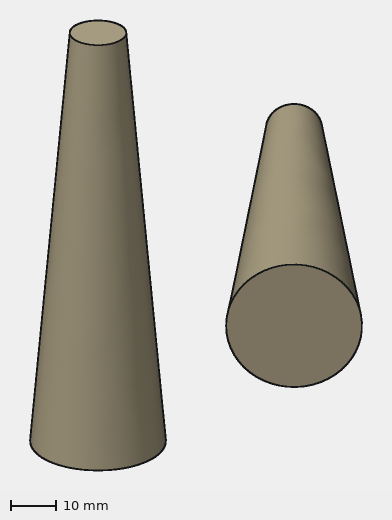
import cadquery as cq

height = 100.0
base_diameter = 30.0
top_diameter = 12.5

half_profile = (
    cq.Workplane("XZ")
    .moveTo(0, 0)
    .lineTo(-base_diameter / 2, 0)
    .lineTo(-top_diameter / 2, height)
    .lineTo(0, height)
    .close()
)

result = half_profile.revolve(360, (0, 0, 0), (0, 1, 0))